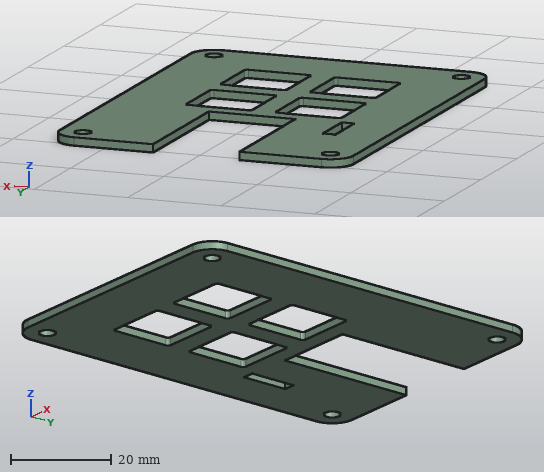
import cadquery as cq

plate_width = 62.8
plate_length = 82.4
plate_thickness = 1.7
corner_radius = 4.95

hole_diameter = 3.4
hole_spacing_x = plate_width - 2 * corner_radius
hole_spacing_y = plate_length - 2 * corner_radius

notch_width = 18.5
notch_depth = 30.9
notch_center_x = 0.3

window_size = 14.1
window_pitch = 19.1
window_corner_radius = 0.7
window_grid_x = -0.5
window_grid_y = -10.3

slot_width = 2.6
slot_length = 10.5
slot_center_x = -19.95
slot_center_y = 14.9


def make_plate():
    plate = cq.Workplane("XY").box(
        plate_width, plate_length, plate_thickness, centered=(True, True, False)
    )
    return plate.edges("|Z").fillet(corner_radius)


def through_block(width, length, center_x, center_y):
    """Rectangular cutter spanning the plate thickness."""
    block = cq.Workplane("XY").box(width, length, plate_thickness, centered=(True, True, False))
    return block.translate((center_x, center_y, 0))


def mounting_holes():
    return (
        cq.Workplane("XY")
        .rect(hole_spacing_x, hole_spacing_y, forConstruction=True)
        .vertices()
        .circle(hole_diameter / 2)
        .extrude(plate_thickness)
    )


def notch():
    center_y = plate_length / 2 - notch_depth / 2
    return through_block(notch_width, notch_depth, notch_center_x, center_y)


def window(column_side, row_side):
    """Rounded square window; each side is -1 or 1 from the grid centre."""
    center_x = window_grid_x + column_side * window_pitch / 2
    center_y = window_grid_y + row_side * window_pitch / 2
    block = through_block(window_size, window_size, center_x, center_y)
    return block.edges("|Z").fillet(window_corner_radius)


def slot():
    return through_block(slot_width, slot_length, slot_center_x, slot_center_y)


result = make_plate().cut(mounting_holes()).cut(notch()).cut(slot())
for column_side in (-1, 1):
    for row_side in (-1, 1):
        result = result.cut(window(column_side, row_side))